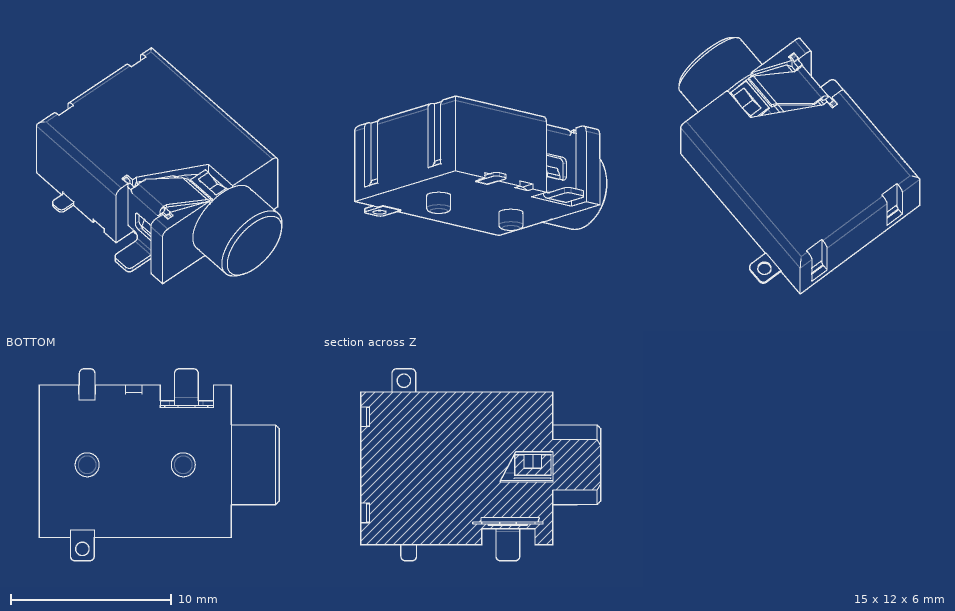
import cadquery as cq

body_length = 12.0
body_front = -5.0
body_back = 4.55
body_height = 5.0
edge_round = 0.44

overall_length = 15.0
barrel_radius = body_height / 2
barrel_chamfer = 0.24

peg_radius = 0.75
peg_length = 1.0
peg_round = 0.2
peg_positions = (3.0, 9.0)

groove_width = 1.22
groove_offset = 3.0
groove_depth = 0.54
groove_bottom = 0.75
latch_width = 1.12
latch_reach = 0.16
latch_shoulder = 0.93
latch_top = 1.26

recess_left = 7.58
recess_right = 10.88
wall_face = -3.58
plate_face = -4.0
plate_thickness = 0.32
plate_left = 7.0
plate_right = 11.38
plate_bottom = 0.93
shoulder_height = 4.64
ear_height = 4.95
ear_width = 0.39
ear_round = 0.15
neck_round = 0.3
roof_left = 7.98
roof_right = 10.4
roof_top = 4.92
roof_thickness = 0.24
roof_bend = 0.51
roof_flare = 0.15
roof_back = -1.08
roof_tip = -0.81
roof_tip_drop = 0.18
roof_back_left = 9.4
roof_back_right = 11.76
roof_straight_end = -2.9
window_left = 8.26
window_right = 10.1
window_bottom = 1.41
window_top = 2.88
window_round = 0.3

catch_left = 8.68
catch_right = 9.72
catch_bottom = 1.44
catch_shoulder = 1.71
catch_top = 2.24
catch_reach = 0.22

tab_limit = 6.0
tab_bottom = -0.05
tab_inset = 0.48
tab_corner = 0.3
thin_tab_top = 0.18
main_tab_thickness = 0.35
main_tab_top = tab_bottom + main_tab_thickness
main_tab_left = 8.45
tab_width = 1.5
tab_bend = 0.16
back_tab_left = 1.95
tab_hole_diameter = 0.82
tab_hole_y = 5.25
small_tab_left = 2.5
small_tab_width = 0.99

notch_width = 1.05
notch_height = 0.33
notch_depth = 0.95
notch_slope = 0.45
tab_notch_left = 2.46
open_notch_left = 5.38

pocket_back = 0.81
pocket_back_left = 9.69
pocket_front_left = 7.53
pocket_front = -3.27
pocket_front_right = 11.18
pocket_mouth_right = 11.05
pocket_side_end = -1.08
front_floor = 4.5
mid_floor = 4.35
back_floor = 4.12
lip_foot = 3.9

leaf_left = 9.62
leaf_right = 11.9
leaf_front = -0.62
leaf_front_slope = 0.09
leaf_back = 0.63
leaf_top = 4.55
valley_left = 9.9
valley_right = 11.61
valley_front = -0.21
valley_bottom = 4.18


def box(x0, x1, y0, y1, z0, z1):
    """Axis-aligned block between two opposite corners."""
    return cq.Workplane("XY").box(x1 - x0, y1 - y0, z1 - z0, centered=False).translate((x0, y0, z0))


def side_profile(points, x0, x1):
    """Y-Z outline extruded along X."""
    return cq.Workplane("YZ", origin=(x0, 0, 0)).polyline(points).close().extrude(x1 - x0)


def housing():
    block = box(0, body_length, body_front, body_back, 0, body_height)
    rounded_edges = block.edges("(>Z and |X) or (>Z and <X)")
    return rounded_edges.fillet(edge_round)


def barrel():
    return (
        cq.Workplane("YZ", origin=(body_length, 0, barrel_radius))
        .circle(barrel_radius)
        .extrude(overall_length - body_length)
        .faces(">X")
        .chamfer(barrel_chamfer)
    )


def peg(x):
    return (
        cq.Workplane("XY", origin=(x, 0, -peg_length))
        .circle(peg_radius)
        .extrude(peg_length)
        .faces("<Z")
        .edges()
        .fillet(peg_round)
    )


def latch_groove(y):
    half = groove_width / 2
    return box(0, groove_depth, y - half, y + half, groove_bottom, body_height)


def groove_latch(y):
    latch_face = groove_depth - latch_reach
    points = [
        (groove_depth, groove_bottom),
        (latch_face, groove_bottom),
        (latch_face, latch_shoulder),
        (groove_depth, latch_top),
    ]
    profile = cq.Workplane("XZ", origin=(0, y + latch_width / 2, 0)).polyline(points).close()
    return profile.extrude(latch_width)


def front_recess():
    """Open front bay, plus the slots that hold both plate ends."""
    bay = box(recess_left, recess_right, body_front, wall_face, 0, body_height)
    slots = box(plate_left, plate_right, plate_face, wall_face, plate_bottom, body_height)
    return bay.union(slots)


def top_pocket():
    outline = (
        cq.Workplane("XY")
        .moveTo(pocket_back_left, pocket_back)
        .lineTo(body_length, pocket_back)
        .lineTo(body_length, pocket_side_end)
        .lineTo(pocket_front_right, pocket_front)
        .lineTo(pocket_mouth_right, wall_face)
        .lineTo(pocket_front_left, wall_face)
        .lineTo(pocket_front_left, pocket_front)
        .close()
        .extrude(body_height)
    )
    floor_step_front = -1.18
    floor_step_back = -0.99
    floor_slope_start = -0.52
    above_floor = side_profile(
        [
            (wall_face, body_height),
            (wall_face, lip_foot),
            (pocket_front, front_floor),
            (floor_step_front, front_floor),
            (floor_step_back, mid_floor),
            (floor_slope_start, mid_floor),
            (leaf_back, back_floor),
            (pocket_back, back_floor),
            (pocket_back, body_height),
        ],
        0,
        body_length,
    )
    return outline.intersect(above_floor)


def spring_leaf():
    points = [
        (leaf_back, back_floor),
        (leaf_back, leaf_top),
        (leaf_front, leaf_top),
        (leaf_front - leaf_front_slope, back_floor),
    ]
    return side_profile(points, leaf_left, leaf_right)


def leaf_valley():
    return (
        cq.Workplane("XZ", origin=(0, leaf_back, 0))
        .moveTo(valley_left, leaf_top)
        .lineTo((valley_left + valley_right) / 2, valley_bottom)
        .lineTo(valley_right, leaf_top)
        .close()
        .extrude(leaf_back - valley_front)
    )


def contact_plate():
    """Upright plate with an ear at each end and a low middle where the roof bends away."""
    bend_start = roof_top - roof_bend
    plate_back = plate_face + plate_thickness
    plate = box(plate_left, plate_right, plate_face, plate_back, plate_bottom, shoulder_height)
    for ear_left in (plate_left, plate_right - ear_width):
        ear = box(ear_left, ear_left + ear_width, plate_face, plate_back, plate_bottom, ear_height)
        plate = plate.union(ear.edges("|Y and >Z").fillet(ear_round))
    bend_relief = (
        cq.Workplane("XZ", origin=(0, plate_back, 0))
        .moveTo(roof_left, bend_start)
        .lineTo(roof_left - roof_flare, shoulder_height)
        .lineTo(roof_right + roof_flare, shoulder_height)
        .lineTo(roof_right, bend_start)
        .close()
        .extrude(plate_thickness)
    )
    window = box(window_left, window_right, plate_face, plate_back, window_bottom, window_top)
    return plate.cut(bend_relief).cut(window.edges("|Y").fillet(window_round))


def contact_bend():
    """Quarter bend on top of the plate, widest level with the plate shoulders."""
    bend_start = roof_top - roof_bend
    roof_front = plate_face + roof_bend
    bend = (
        cq.Workplane("YZ")
        .moveTo(plate_face, bend_start)
        .radiusArc((roof_front, roof_top), roof_bend)
        .lineTo(roof_front, roof_top - roof_thickness)
        .radiusArc((plate_face + roof_thickness, bend_start), roof_thickness - roof_bend)
        .close()
        .extrude(body_length)
    )
    flare_top = 2 * shoulder_height - bend_start
    outline = (
        cq.Workplane("XZ", origin=(0, roof_front, 0))
        .moveTo(roof_left, bend_start)
        .lineTo(roof_left - roof_flare, shoulder_height)
        .lineTo(roof_left, flare_top)
        .lineTo(roof_left, roof_top)
        .lineTo(roof_right, roof_top)
        .lineTo(roof_right, flare_top)
        .lineTo(roof_right + roof_flare, shoulder_height)
        .lineTo(roof_right, bend_start)
        .close()
        .extrude(roof_bend)
    )
    return bend.intersect(outline)


def contact_roof():
    """Skewed strip that runs back from the bend above the pocket floor and dips at its tip."""
    roof_front = plate_face + roof_bend
    roof_underside = roof_top - roof_thickness
    strip = side_profile(
        [
            (roof_front, roof_top),
            (roof_back, roof_top),
            (roof_tip, roof_top - roof_tip_drop),
            (roof_tip, mid_floor),
            (roof_back, roof_underside),
            (roof_front, roof_underside),
        ],
        0,
        body_length,
    )
    tip_shift = 0.21
    plan = (
        cq.Workplane("XY")
        .moveTo(roof_left, roof_front)
        .lineTo(roof_left, roof_straight_end)
        .lineTo(roof_back_left, roof_back)
        .lineTo(roof_back_left + tip_shift, roof_tip)
        .lineTo(leaf_right, roof_tip)
        .lineTo(roof_back_right, roof_back)
        .lineTo(roof_right, pocket_front)
        .lineTo(roof_right, roof_front)
        .close()
        .extrude(body_height)
    )
    return strip.intersect(plan)


def main_tab():
    """Neck below the plate that bends forward into the large solder tab."""
    outer_bend = tab_bend + main_tab_thickness
    plate_back = plate_face + plate_thickness
    neck = (
        cq.Workplane("YZ", origin=(main_tab_left, 0, 0))
        .moveTo(plate_back, plate_bottom)
        .lineTo(plate_back, tab_bottom + outer_bend)
        .radiusArc((plate_back - outer_bend, tab_bottom), outer_bend)
        .lineTo(-tab_limit, tab_bottom)
        .lineTo(-tab_limit, main_tab_top)
        .lineTo(plate_face - tab_bend, main_tab_top)
        .radiusArc((plate_face, main_tab_top + tab_bend), -tab_bend)
        .lineTo(plate_face, plate_bottom)
        .close()
        .extrude(tab_width)
    )
    return neck.edges("|Z and <Y").fillet(tab_corner)


def neck_fillet(edge_x, side):
    """Concave round where the neck meets the bottom edge of the plate; side is -1 or +1."""
    outer_x = edge_x + side * neck_round
    return (
        cq.Workplane("XZ", origin=(0, plate_face + plate_thickness, 0))
        .moveTo(edge_x, plate_bottom)
        .lineTo(outer_x, plate_bottom)
        .radiusArc((edge_x, plate_bottom - neck_round), side * -neck_round)
        .close()
        .extrude(plate_thickness)
    )


def wall_catch():
    catch_face = wall_face - catch_reach
    points = [
        (wall_face, catch_bottom),
        (catch_face, catch_bottom),
        (catch_face, catch_shoulder),
        (wall_face, catch_top),
    ]
    return side_profile(points, catch_left, catch_right)


def back_tab():
    tab = box(
        back_tab_left, back_tab_left + tab_width, body_back - tab_inset, tab_limit, tab_bottom, thin_tab_top
    )
    hole = (
        cq.Workplane("XY", origin=(back_tab_left + tab_width / 2, tab_hole_y, tab_bottom))
        .circle(tab_hole_diameter / 2)
        .extrude(thin_tab_top - tab_bottom)
    )
    return tab.edges("|Z and >Y").fillet(tab_corner).cut(hole)


def small_tab():
    tab = box(
        small_tab_left,
        small_tab_left + small_tab_width,
        -tab_limit,
        body_front + notch_depth,
        tab_bottom,
        thin_tab_top,
    )
    return tab.edges("|Z and <Y").fillet(tab_corner)


def bottom_notch(left):
    """Notch whose back wall slopes up and away from the front face."""
    notch_back = body_front + notch_depth
    points = [
        (body_front, 0),
        (notch_back - notch_slope, 0),
        (notch_back, notch_height),
        (body_front, notch_height),
    ]
    return side_profile(points, left, left + notch_width)


result = housing().cut(front_recess()).cut(top_pocket())
for groove_y in (-groove_offset, groove_offset):
    result = result.cut(latch_groove(groove_y)).union(groove_latch(groove_y))
for notch_left in (tab_notch_left, open_notch_left):
    result = result.cut(bottom_notch(notch_left))
result = result.union(barrel())
for peg_x in peg_positions:
    result = result.union(peg(peg_x))
result = result.union(spring_leaf()).cut(leaf_valley()).union(wall_catch())
result = result.union(contact_plate()).union(contact_bend()).union(contact_roof()).union(main_tab())
result = result.union(neck_fillet(main_tab_left, -1))
result = result.union(neck_fillet(main_tab_left + tab_width, 1))
result = result.union(back_tab()).union(small_tab())